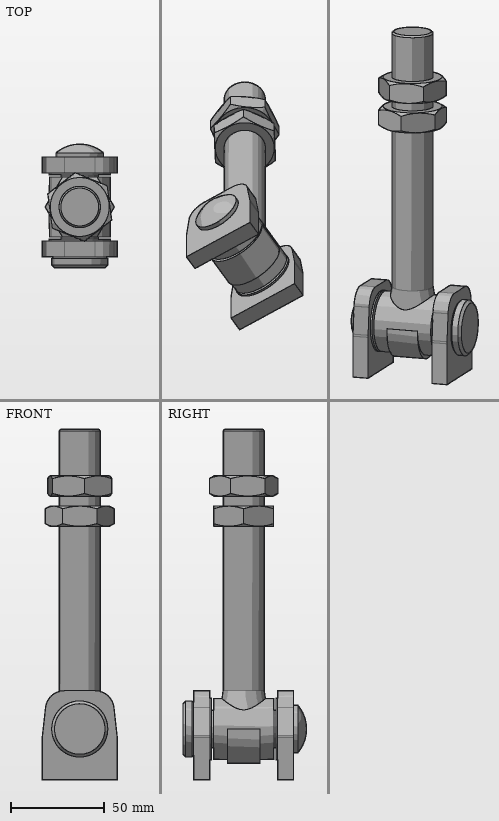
import cadquery as cq
import math


LUG_WIDTH = 40.0
LUG_HEIGHT = 47.5
LUG_THICKNESS = 8.6
LUG_GAP = 36.0
LUG_SHOULDER_Z = 23.0
LUG_TOP_WIDTH = 34.6
LUG_CORNER_RADIUS = 10.1

PIN_Z = 27.1
PIN_DIAMETER = 20.2
HEAD_DIAMETER = 30.0
HEAD_THICKNESS = 5.8
HEAD_FRONT_CHAMFER = 1.5
HEAD_BACK_CHAMFER = 1.0
CAP_DIAMETER = 25.5
CAP_RIM = 2.2
CAP_DOME = 4.7

WASHER_DIAMETER = 33.0
WASHER_THICKNESS = 1.0

BARREL_DIAMETER = 32.5
BARREL_LENGTH = 32.2
SADDLE_DIAMETER = 33.0
SADDLE_WIDTH = 17.4
SADDLE_DROP = 1.9
SHANK_DIAMETER = 22.0
SHANK_TOP_Z = 187.0
SHANK_CHAMFER = 1.0
NECK_DIAMETER = 25.5
NECK_BOTTOM_RISE = 10.0
NECK_BOTTOM_Z = PIN_Z + NECK_BOTTOM_RISE
NECK_TOP_Z = LUG_HEIGHT

NUT_FLATS = 32.0
NUT_HEIGHT = 11.0
NUT_FACE_DIAMETER = 31.5
NUT_CHAMFER_ANGLE = 30.0
NUT_SIDES = 6
LOWER_NUT_Z = 135.0
UPPER_NUT_Z = 151.1
UPPER_NUT_TURN = 37.8

LUG_INNER_Y = LUG_GAP / 2
LUG_OUTER_Y = LUG_INNER_Y + LUG_THICKNESS


def pin_axis_cylinder(diameter, y_start, length, z=PIN_Z):
    """Cylinder parallel to Y from y_start to y_start + length."""
    return cq.Workplane("XZ", origin=(0, y_start, z)).circle(diameter / 2).extrude(-length)


def make_lug(y_start):
    outline = [
        (-LUG_WIDTH / 2, 0),
        (LUG_WIDTH / 2, 0),
        (LUG_WIDTH / 2, LUG_SHOULDER_Z),
        (LUG_TOP_WIDTH / 2, LUG_HEIGHT),
        (-LUG_TOP_WIDTH / 2, LUG_HEIGHT),
        (-LUG_WIDTH / 2, LUG_SHOULDER_Z),
    ]
    plate = cq.Workplane("XZ", origin=(0, y_start, 0)).polyline(outline).close().extrude(-LUG_THICKNESS)
    above_base = cq.selectors.BoxSelector(
        (-LUG_WIDTH, y_start, LUG_SHOULDER_Z / 2),
        (LUG_WIDTH, y_start + LUG_THICKNESS, 2 * LUG_HEIGHT),
    )
    plate = plate.edges("|Y").edges(above_base).fillet(LUG_CORNER_RADIUS)
    return plate.cut(pin_axis_cylinder(PIN_DIAMETER, y_start, LUG_THICKNESS))


def make_washer(y_start):
    disc = pin_axis_cylinder(WASHER_DIAMETER, y_start, WASHER_THICKNESS)
    return disc.cut(pin_axis_cylinder(PIN_DIAMETER, y_start, WASHER_THICKNESS))


def make_pin():
    """Pin reaching the outer face of the rear lug, with a chamfered head in front of the other lug."""
    head = pin_axis_cylinder(HEAD_DIAMETER, -LUG_OUTER_Y - HEAD_THICKNESS, HEAD_THICKNESS)
    head = head.faces("<Y").chamfer(HEAD_FRONT_CHAMFER)
    head = head.faces(">Y").chamfer(HEAD_BACK_CHAMFER)
    return head.union(pin_axis_cylinder(PIN_DIAMETER, -LUG_OUTER_Y, 2 * LUG_OUTER_Y))


def make_cap():
    """Short rim closed by a spherical dome, seated on the rear lug and the pin end."""
    rim_y = LUG_OUTER_Y + CAP_RIM
    dome_y = rim_y + CAP_DOME
    radius = CAP_DIAMETER / 2
    sphere_radius = (radius**2 + CAP_DOME**2) / (2 * CAP_DOME)
    half_angle = math.asin(radius / sphere_radius) / 2
    middle = (
        sphere_radius * math.sin(half_angle),
        dome_y - sphere_radius * (1 - math.cos(half_angle)),
    )
    profile = (
        cq.Workplane("XY")
        .moveTo(0, LUG_OUTER_Y)
        .lineTo(radius, LUG_OUTER_Y)
        .lineTo(radius, rim_y)
        .threePointArc(middle, (0, dome_y))
        .close()
    )
    return profile.revolve(360, (0, 0, 0), (0, 1, 0)).translate((0, 0, PIN_Z))


def make_eyebolt():
    barrel = pin_axis_cylinder(BARREL_DIAMETER, -BARREL_LENGTH / 2, BARREL_LENGTH)

    saddle = pin_axis_cylinder(SADDLE_DIAMETER, -SADDLE_WIDTH / 2, SADDLE_WIDTH, PIN_Z - SADDLE_DROP)
    upper_half = (
        cq.Workplane("XY", origin=(0, 0, PIN_Z))
        .rect(2 * SADDLE_DIAMETER, 2 * SADDLE_WIDTH)
        .extrude(SADDLE_DIAMETER)
    )
    saddle = saddle.cut(upper_half)

    neck = (
        cq.Workplane("XY", origin=(0, 0, NECK_BOTTOM_Z))
        .circle(NECK_DIAMETER / 2)
        .workplane(offset=NECK_TOP_Z - NECK_BOTTOM_Z)
        .circle(SHANK_DIAMETER / 2)
        .loft()
    )
    shank = (
        cq.Workplane("XY", origin=(0, 0, NECK_TOP_Z))
        .circle(SHANK_DIAMETER / 2)
        .extrude(SHANK_TOP_Z - NECK_TOP_Z)
        .faces(">Z")
        .chamfer(SHANK_CHAMFER)
    )
    bolt = barrel.union(saddle).union(neck).union(shank)
    return bolt.cut(pin_axis_cylinder(PIN_DIAMETER, -BARREL_LENGTH / 2, BARREL_LENGTH))


def make_nut(z_bottom, turn):
    """Hexagon nut whose corners are chamfered at both ends, bored to fit the shank."""
    corner_diameter = NUT_FLATS / math.cos(math.pi / NUT_SIDES)
    hexagon = cq.Workplane("XY").polygon(NUT_SIDES, corner_diameter).extrude(NUT_HEIGHT)
    corner = corner_diameter / 2
    face = NUT_FACE_DIAMETER / 2
    drop = (corner - face) * math.tan(math.radians(NUT_CHAMFER_ANGLE))
    envelope = (
        cq.Workplane("XZ")
        .polyline([
            (0, 0),
            (face, 0),
            (corner, drop),
            (corner, NUT_HEIGHT - drop),
            (face, NUT_HEIGHT),
            (0, NUT_HEIGHT),
        ])
        .close()
        .revolve(360, (0, 0, 0), (0, 1, 0))
    )
    bore = cq.Workplane("XY").circle(SHANK_DIAMETER / 2).extrude(NUT_HEIGHT)
    nut = hexagon.intersect(envelope).cut(bore)
    return nut.rotate((0, 0, 0), (0, 0, 1), turn).translate((0, 0, z_bottom))


lugs = [make_lug(y) for y in (-LUG_OUTER_Y, LUG_INNER_Y)]
washers = [make_washer(y) for y in (-LUG_INNER_Y, LUG_INNER_Y - WASHER_THICKNESS)]
nuts = [make_nut(z, turn) for z, turn in ((LOWER_NUT_Z, 0), (UPPER_NUT_Z, UPPER_NUT_TURN))]
pin = make_pin()
cap = make_cap()
eyebolt = make_eyebolt()

bodies = [*lugs, *washers, *nuts, pin, cap, eyebolt]
result = cq.Compound.makeCompound([body.val() for body in bodies])